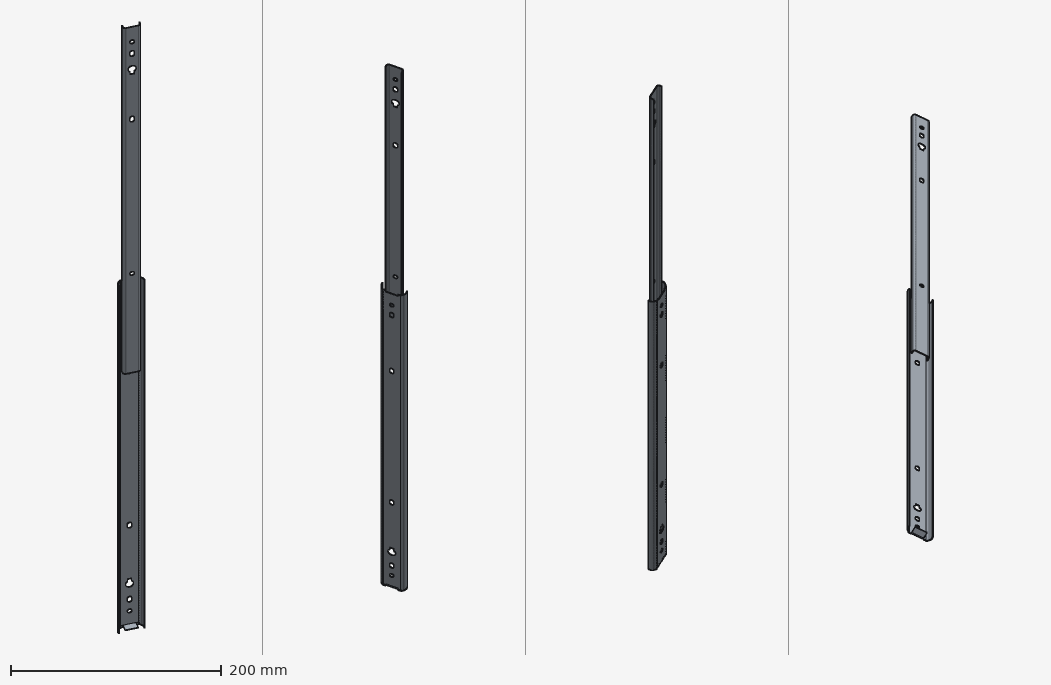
import cadquery as cq
import math

total_depth = 9.5
outer_width = 26.8
extended_length = 783.6
outer_length = 450.0
inner_length = 448.0
sheet = 1.0

bottom_z = -extended_length / 2
top_z = extended_length / 2
outer_top_z = bottom_z + outer_length
inner_bottom_z = top_z - inner_length

outer_web_x = -total_depth / 2
outer_depth = 8.0
web_half_width = 9.35
shoulder_half_width = 11.85
shoulder_angle = math.radians(43)

inner_width = 18.0
inner_depth = 5.0
inner_corner_radius = 2.6
inner_web_x = total_depth / 2

screw_diameter = 4.5
screw_slot_length = 7.0
end_hole_offset = 19.4
near_slot_offset = 34.5
keyhole_offset = 54.5
middle_slot_offset = 119.5
far_offset = 319.5
keyhole_diameter = 8.0
keyhole_neck_width = 4.0
keyhole_neck_reach = 6.5

relief_width = 13.0
relief_height = 2.0
end_step_depth = 0.5
tongue_reach = 8.0


def make_outer_section():
    """Outer rail section at the bottom end; each curl is an arc tangent to its shoulder."""
    half_width = outer_width / 2
    curl_radius = (half_width - shoulder_half_width) / (1 - math.cos(shoulder_angle))
    inside_radius = curl_radius - sheet
    shoulder_x = outer_web_x + (shoulder_half_width - web_half_width) * math.tan(shoulder_angle)
    center_x = shoulder_x + curl_radius * math.sin(shoulder_angle)
    center_y = half_width - curl_radius
    lip_angle = math.asin((outer_web_x + outer_depth - center_x) / curl_radius)
    web_inside_half_width = web_half_width - sheet * math.tan(shoulder_angle / 2)

    def on_curl(radius, angle):
        """Point on a curl; the angle leans from +Y toward +X."""
        return (center_x + radius * math.sin(angle), center_y + radius * math.cos(angle))

    half = (
        cq.Workplane("XY", origin=(0, 0, bottom_z))
        .moveTo(outer_web_x, 0)
        .lineTo(outer_web_x, web_half_width)
        .lineTo(*on_curl(curl_radius, -shoulder_angle))
        .threePointArc(on_curl(curl_radius, 0), on_curl(curl_radius, lip_angle))
        .lineTo(*on_curl(inside_radius, lip_angle))
        .threePointArc(on_curl(inside_radius, 0), on_curl(inside_radius, -shoulder_angle))
        .lineTo(outer_web_x + sheet, web_inside_half_width)
        .lineTo(outer_web_x + sheet, 0)
    )
    return half.mirrorX()


def through_web(z):
    """Workplane across the webs at height z: local x is Y, local y is Z, normal is +X."""
    return cq.Workplane("YZ", origin=(0, 0, z))


def screw_hole(z):
    return through_web(z).circle(screw_diameter / 2).extrude(total_depth, both=True)


def screw_slot(z):
    return through_web(z).slot2D(screw_slot_length, screw_diameter, 90).extrude(total_depth, both=True)


def keyhole(z, neck_direction):
    """Round hole with a narrow neck, pointing up for neck_direction 1 and down for -1."""
    head = through_web(z).circle(keyhole_diameter / 2).extrude(total_depth, both=True)
    neck = (
        through_web(z + neck_direction * keyhole_neck_reach / 2)
        .rect(keyhole_neck_width, keyhole_neck_reach)
        .extrude(total_depth, both=True)
    )
    return head.union(neck)


def end_relief(z):
    """Notch across the middle of a web end at height z."""
    return through_web(z).rect(relief_width, 2 * relief_height).extrude(total_depth, both=True)


def make_end_step():
    """Cut that thins the outer face of the web at its bottom end."""
    return cq.Workplane("XY", origin=(outer_web_x, 0, bottom_z)).box(
        2 * end_step_depth, outer_width, 2 * relief_height
    )


def make_tongue():
    """Stop tongue bent square from the bottom of the outer web into the channel."""
    return cq.Workplane("XY", origin=(outer_web_x, 0, bottom_z + relief_height)).box(
        tongue_reach, relief_width, sheet, centered=(False, True, False)
    )


def make_outer_rail():
    rail = make_outer_section().extrude(outer_length)
    for z in (bottom_z + end_hole_offset, outer_top_z - end_hole_offset):
        rail = rail.cut(screw_hole(z))
    for z in (
        bottom_z + near_slot_offset,
        outer_top_z - far_offset,
        outer_top_z - middle_slot_offset,
        outer_top_z - near_slot_offset,
    ):
        rail = rail.cut(screw_slot(z))
    rail = rail.cut(keyhole(bottom_z + keyhole_offset, 1))
    for z in (bottom_z, outer_top_z):
        rail = rail.cut(end_relief(z))
    return rail.cut(make_end_step()).union(make_tongue())


def make_inner_rail():
    cavity_depth = inner_depth - sheet
    rail = (
        cq.Workplane("XY", origin=(inner_web_x - inner_depth / 2, 0, inner_bottom_z))
        .rect(inner_depth, inner_width)
        .extrude(inner_length)
        .edges("|Z and >X")
        .fillet(inner_corner_radius)
    )
    cavity = (
        cq.Workplane("XY", origin=(inner_web_x - sheet - cavity_depth / 2, 0, inner_bottom_z))
        .rect(cavity_depth, inner_width - 2 * sheet)
        .extrude(inner_length)
        .edges("|Z and >X")
        .fillet(inner_corner_radius - sheet)
    )
    rail = rail.cut(cavity)
    for offset in (end_hole_offset, far_offset):
        rail = rail.cut(screw_hole(top_z - offset))
    for offset in (near_slot_offset, middle_slot_offset):
        rail = rail.cut(screw_slot(top_z - offset))
    return rail.cut(keyhole(top_z - keyhole_offset, -1))


outer_rail = make_outer_rail()
inner_rail = make_inner_rail()
result = cq.Compound.makeCompound([outer_rail.val(), inner_rail.val()])